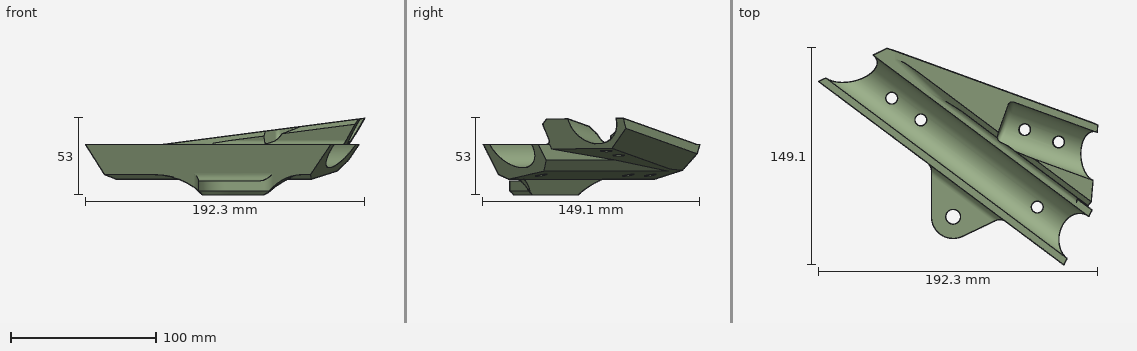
import cadquery as cq
import math

MAIN_ANGLE = -36.8
BRANCH_ANGLE = -20.0
BRANCH_TILT = 7.4
BRANCH_DROP = 4.0

BORE_RADIUS = 16.0
HALF_WIDTH = 21.0
WALL_DEPTH = 20.8
KEEL_OFFSET = 15.0
KEEL_DEPTH = 24.0
FAR_KEEL_DEPTH = 18.4
FAR_WALL_DEPTH = 10.8

BRANCH_FLOOR = 19.0
BRANCH_WALL_DEPTH = 6.5
BRANCH_INNER_REACH = 45.0
BORE_START = 111.5
BORE_END_FILLET = 3.0

RELIEF_OFFSET = 21.6
RELIEF_CHAMFER = 3.6
RELIEF_FILLET = 3.0
BEVEL_TOE_RADIUS = 7.2
LEAD_IN = 60.0

SCREW_DIAMETER = 8.0
MAIN_SCREWS = (35.3, 60.3, 160.3)
BRANCH_SCREWS = (126.0, 151.0)

LUG_ALONG = 118.0
LUG_OFFSET = 40.0
LUG_RADIUS = 15.0
LUG_HOLE_DIAMETER = 10.0
LUG_TOP = -25.0
LUG_BOTTOM = -34.95
LUG_CHAMFER = 3.0
LUG_FILLET = 5.0
LUG_FLANK_FILLET = 7.0
LUG_ROOT_DEPTH = 6.5
LUG_LEFT_ANGLE = 53.2
LUG_RIGHT_ANGLE = 62.3
UNDERCUT_SLOPE = 2.0
LUG_TOE_OFFSET = 21.7
GUSSET_LEFT_START = 47.0
GUSSET_LEFT_RUN = 39.0
GUSSET_LEFT_RADIUS = 72.0
GUSSET_RIGHT_START = 174.0
GUSSET_RIGHT_RUN = 27.0
GUSSET_RIGHT_RADIUS = 40.0

MAIN_START = -12.0
MAIN_END = 198.85
BRANCH_END = (165.6, -92.0)
START_NORMAL = (-0.435, 0.9, -0.70)
END_NORMAL = (0.889, -0.458, -0.83)
BRANCH_END_NORMAL = (0.863, -0.0685, -0.499)

BIG = 300.0
TILT_SLOPE = math.tan(math.radians(BRANCH_TILT))


def along_main(solid):
    """Turn a solid built along +X to the main trough direction."""
    return solid.rotate((0, 0, 0), (0, 0, 1), MAIN_ANGLE)


def main_point(along, offset, height=0.0):
    """Point given along the main trough and sideways from its axis."""
    angle = math.radians(MAIN_ANGLE)
    x = along * math.cos(angle) - offset * math.sin(angle)
    y = along * math.sin(angle) + offset * math.cos(angle)
    return cq.Vector(x, y, height)


def beyond(point, normal):
    """Block filling the space beyond a plane."""
    plane = cq.Plane(origin=point, normal=normal)
    return cq.Workplane(plane).rect(2 * BIG, 2 * BIG).extrude(BIG)


def branch_plane(distance=0.0):
    """Section plane of the branch: local X sideways, local Y up."""
    tilt = math.radians(BRANCH_TILT)
    angle = math.radians(BRANCH_ANGLE)
    up = cq.Vector(-math.sin(tilt), 0, math.cos(tilt))
    axis = cq.Vector(math.cos(angle), math.sin(angle), TILT_SLOPE * math.cos(angle)).normalized()
    origin = cq.Vector(0, 0, -BRANCH_DROP) + axis * distance
    return cq.Plane(origin=origin, xDir=up.cross(axis), normal=axis)


def hinge_point():
    """Where the bevel's top edge leaves the flat rim."""
    angle = math.radians(MAIN_ANGLE)
    x = BRANCH_DROP / TILT_SLOPE
    along = (x + (RELIEF_OFFSET + RELIEF_CHAMFER) * math.sin(angle)) / math.cos(angle)
    return main_point(along, RELIEF_OFFSET + RELIEF_CHAMFER)


def main_body():
    """Main trough block, closed at its +X end by a leaning plane."""
    profile = [
        (-HALF_WIDTH, 0),
        (-HALF_WIDTH, -WALL_DEPTH),
        (-KEEL_OFFSET, -KEEL_DEPTH),
        (KEEL_OFFSET, -FAR_KEEL_DEPTH),
        (HALF_WIDTH, -FAR_WALL_DEPTH),
        (HALF_WIDTH, 0),
    ]
    body = cq.Workplane("YZ").polyline(profile).close().extrude(BIG).translate((-LEAD_IN, 0, 0))
    return along_main(body).cut(beyond(main_point(MAIN_END, -HALF_WIDTH), END_NORMAL))


def keel_region():
    """Space above the sloping keel face, from the main axis outward."""
    slope = (KEEL_DEPTH - FAR_KEEL_DEPTH) / (2 * KEEL_OFFSET)
    axis_depth = (KEEL_DEPTH + FAR_KEEL_DEPTH) / 2
    profile = [(0, BIG), (0, -axis_depth), (BIG, slope * BIG - axis_depth), (BIG, BIG)]
    return along_main(cq.Workplane("YZ").polyline(profile).close().extrude(BIG, both=True))


def top_region():
    """Space below the flat rim, and below the tilted rim plane further along +X."""
    hinge = BRANCH_DROP / TILT_SLOPE
    profile = [(-BIG, 0), (hinge, 0), (BIG, TILT_SLOPE * BIG - BRANCH_DROP), (BIG, -BIG), (-BIG, -BIG)]
    return cq.Workplane("XZ").polyline(profile).close().extrude(BIG, both=True)


def relief():
    """Clearance above the main trough: a wall cut and a bevel, both with a rounded toe on the rim."""
    wall = cq.Workplane("XY").box(2 * BIG, BIG, BIG, centered=(True, False, False))
    wall = wall.translate((0, RELIEF_OFFSET - BIG, 0)).edges("|X and >Y and <Z").fillet(RELIEF_FILLET)

    hinge = hinge_point()
    run = main_point(1, 0)
    run.z = TILT_SLOPE * run.x
    section = cq.Plane(origin=hinge, xDir=main_point(0, 1), normal=run)
    bevel = cq.Workplane(section).polyline([(BIG, BIG), (-BIG, -BIG), (-BIG, BIG)]).close()
    bevel = bevel.extrude(BIG, both=True)
    above = cq.Workplane("XY").box(2 * BIG, 2 * BIG, BIG, centered=(True, True, False))
    bevel = bevel.intersect(above)
    bevel = bevel.faces("<Z").edges(cq.NearestToPointSelector(hinge.toTuple())).fillet(BEVEL_TOE_RADIUS)
    return along_main(wall).union(bevel)


def branch_body():
    """Wedge block around the branch trough, relieved beside the main trough."""
    corner = HALF_WIDTH - (BRANCH_FLOOR - BRANCH_WALL_DEPTH)
    profile = [
        (HALF_WIDTH, HALF_WIDTH),
        (HALF_WIDTH, -BRANCH_WALL_DEPTH),
        (corner, -BRANCH_FLOOR),
        (-BRANCH_INNER_REACH, -BRANCH_FLOOR),
        (-BRANCH_INNER_REACH, HALF_WIDTH),
    ]
    body = cq.Workplane(branch_plane(-LEAD_IN)).polyline(profile).close().extrude(BIG)
    body = body.intersect(top_region()).intersect(keel_region())
    end = (*BRANCH_END, TILT_SLOPE * BRANCH_END[0] - BRANCH_DROP)
    return body.cut(beyond(end, BRANCH_END_NORMAL)).cut(relief())


def bores():
    """Main bore through the full length and branch bore with a rounded inner end."""
    main = along_main(cq.Workplane("YZ").circle(BORE_RADIUS).extrude(BIG, both=True))
    branch = cq.Workplane(branch_plane(BORE_START)).circle(BORE_RADIUS).extrude(BIG)
    inner_edge = cq.NearestToPointSelector(branch_plane(BORE_START).origin.toTuple())
    return main.union(branch.edges(inner_edge).fillet(BORE_END_FILLET))


def screw_holes():
    """Holes through the trough floors, square to each rim plane."""
    points = [main_point(along, 0).toTuple()[:2] for along in MAIN_SCREWS]
    holes = cq.Workplane("XY").pushPoints(points).circle(SCREW_DIAMETER / 2).extrude(-2 * KEEL_DEPTH)
    for distance in BRANCH_SCREWS:
        section = branch_plane(distance)
        down = cq.Plane(origin=section.origin, xDir=section.xDir, normal=-section.yDir)
        holes = holes.union(cq.Workplane(down).circle(SCREW_DIAMETER / 2).extrude(2 * KEEL_DEPTH))
    return holes


def lug_flank(angle, side):
    """Straight lug edge: its tangent point on the round tip and its root on the trough wall."""
    tangent_x = side * LUG_RADIUS * math.sin(angle)
    tangent_y = -LUG_OFFSET - LUG_RADIUS * math.cos(angle)
    root_x = tangent_x + side * (-HALF_WIDTH - tangent_y) / math.tan(angle)
    return (tangent_x, tangent_y), (root_x, -HALF_WIDTH)


def lug_plate():
    """Triangular plate with a round tip, blended into the wall and bevelled underneath."""
    left_tangent, left_root = lug_flank(math.radians(LUG_LEFT_ANGLE), -1)
    right_tangent, right_root = lug_flank(math.radians(LUG_RIGHT_ANGLE), 1)
    left_shoulder = left_root[0] - LUG_RADIUS
    right_shoulder = right_root[0] + LUG_RADIUS
    inner = -HALF_WIDTH + LUG_ROOT_DEPTH
    plate = (
        cq.Workplane("XY", origin=(0, 0, LUG_BOTTOM))
        .moveTo(*left_root)
        .lineTo(*left_tangent)
        .threePointArc((0, -LUG_OFFSET - LUG_RADIUS), right_tangent)
        .lineTo(*right_root)
        .lineTo(right_shoulder, -HALF_WIDTH)
        .lineTo(right_shoulder, inner)
        .lineTo(left_shoulder, inner)
        .lineTo(left_shoulder, -HALF_WIDTH)
        .close()
        .extrude(WALL_DEPTH)
    )
    for root in (left_root, right_root):
        corner = cq.NearestToPointSelector((*root, LUG_BOTTOM + WALL_DEPTH / 2))
        plate = plate.edges("|Z").edges(corner).fillet(LUG_FLANK_FILLET)
    plate = plate.faces("<Z").chamfer(LUG_CHAMFER)

    blend_top = LUG_TOP + LUG_FILLET
    blend_end = -HALF_WIDTH - LUG_FILLET
    blend_middle = LUG_FILLET * (1 - math.sqrt(0.5))
    side_profile = (
        cq.Workplane("YZ")
        .moveTo(inner, blend_top)
        .lineTo(-HALF_WIDTH, blend_top)
        .threePointArc((-HALF_WIDTH - blend_middle, LUG_TOP + blend_middle), (blend_end, LUG_TOP))
        .lineTo(-BIG, LUG_TOP)
        .lineTo(-BIG, LUG_BOTTOM)
        .lineTo(-LUG_TOE_OFFSET, LUG_BOTTOM)
        .lineTo(inner, LUG_BOTTOM + UNDERCUT_SLOPE * (LUG_TOE_OFFSET + inner))
        .close()
        .extrude(BIG, both=True)
    )
    hole = cq.Workplane("XY").center(0, -LUG_OFFSET).circle(LUG_HOLE_DIAMETER / 2).extrude(2 * LUG_BOTTOM)
    plate = plate.intersect(side_profile).cut(hole).translate((LUG_ALONG, 0, 0))
    return along_main(plate.intersect(web_section(2 * LUG_OFFSET)))


def sag(radius, run):
    """Drop of an arc that starts level, after a horizontal run."""
    return radius - math.sqrt(radius**2 - run**2)


def web_section(reach):
    """Curved web outline below the trough wall, extruded to both sides of the main axis."""
    left_foot = GUSSET_LEFT_START + GUSSET_LEFT_RUN
    right_foot = GUSSET_RIGHT_START - GUSSET_RIGHT_RUN
    left_drop = sag(GUSSET_LEFT_RADIUS, GUSSET_LEFT_RUN)
    right_drop = sag(GUSSET_RIGHT_RADIUS, GUSSET_RIGHT_RUN)
    left_middle = sag(GUSSET_LEFT_RADIUS, GUSSET_LEFT_RUN / 2)
    right_middle = sag(GUSSET_RIGHT_RADIUS, GUSSET_RIGHT_RUN / 2)
    return (
        cq.Workplane("XZ")
        .moveTo(GUSSET_LEFT_START, 0)
        .lineTo(GUSSET_LEFT_START, -WALL_DEPTH)
        .threePointArc(
            (GUSSET_LEFT_START + GUSSET_LEFT_RUN / 2, -WALL_DEPTH - left_middle),
            (left_foot, -WALL_DEPTH - left_drop),
        )
        .lineTo(left_foot - LUG_BOTTOM - WALL_DEPTH - left_drop, LUG_BOTTOM)
        .lineTo(right_foot + LUG_BOTTOM + WALL_DEPTH + right_drop, LUG_BOTTOM)
        .lineTo(right_foot, -WALL_DEPTH - right_drop)
        .threePointArc(
            (GUSSET_RIGHT_START - GUSSET_RIGHT_RUN / 2, -WALL_DEPTH - right_middle),
            (GUSSET_RIGHT_START, -WALL_DEPTH),
        )
        .lineTo(GUSSET_RIGHT_START, 0)
        .close()
        .extrude(reach, both=True)
    )


def gusset():
    """Web under the trough wall, sloping back up steeply from the wall."""
    shoulder = -LUG_TOE_OFFSET - (LUG_BOTTOM + WALL_DEPTH) / UNDERCUT_SLOPE
    toe_depth = -LUG_BOTTOM - UNDERCUT_SLOPE * (LUG_TOE_OFFSET - HALF_WIDTH)
    profile = [
        (-HALF_WIDTH, -WALL_DEPTH),
        (shoulder, -WALL_DEPTH),
        (-HALF_WIDTH, -toe_depth),
    ]
    wedge = cq.Workplane("YZ").polyline(profile).close().extrude(BIG)
    return along_main(wedge.intersect(web_section(HALF_WIDTH)))


result = main_body().union(branch_body()).cut(beyond(main_point(MAIN_START, -HALF_WIDTH), START_NORMAL))
result = result.union(gusset()).union(lug_plate())
result = result.cut(bores()).cut(screw_holes())